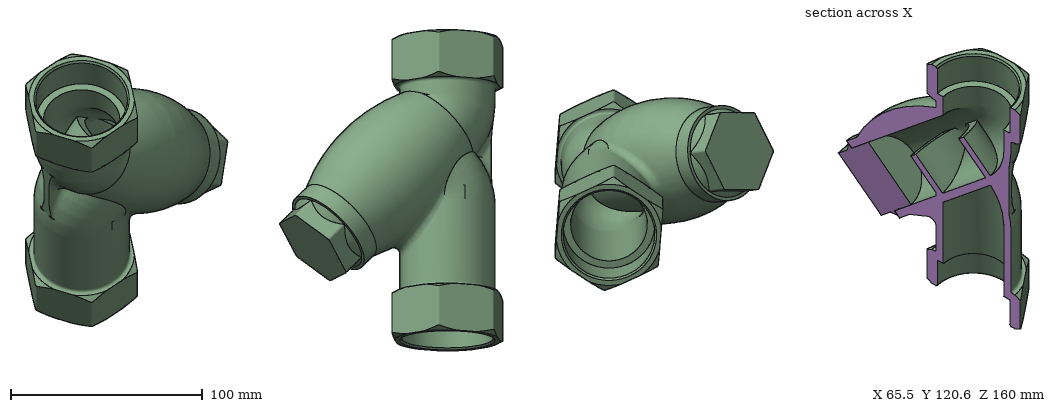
import cadquery as cq
import math

TOTAL_HEIGHT = 160.0
PIPE_DIAMETER = 50.0
BORE_DIAMETER = 40.0
BEND_RADIUS = 17.5
BEND_ANGLE = 45.0
UPPER_KNEE_Z = 39.0
LOWER_KNEE_Z = -2.0
INNER_PIPE_END = 34.0

HEX_ACROSS_FLATS = 54.0
HEX_HEIGHT = 25.0
HEX_CORNER_FILLET = 1.6
HEX_CHAMFER_DIAMETER = 55.2
HEX_CHAMFER_ANGLE = 30.0
NECK_FILLET = 1.5
THREAD_DIAMETER = 47.8
THREAD_DEPTH = 19.0
THREAD_CHAMFER = 1.0

BULB_START = 8.3
BULB_PEAK_DIAMETER = 65.5
COLLAR_START = 84.8
COLLAR_END = 94.4

PLUG_ACROSS_FLATS = 40.3
PLUG_HEAD_LENGTH = 12.3
PLUG_CORNER_FILLET = 1.6
PLUG_SHOULDER_DIAMETER = 46.4
PLUG_SHOULDER_LENGTH = 3.8
PLUG_SHANK_LENGTH = 16.0

RIB_FACE_Y = -23.8
RIB_BACK_Y = -6.4
RIB_THICKNESS = 3.8
RIB_FILLET = 5.0
RIB_BOTTOM_Z = 0.2
RIB_TOP_Z = 37.1

CROTCH_FILLET = 4.0
SEAM_MIN_WIDTH = 0.2

PIPE_RADIUS = PIPE_DIAMETER / 2
BORE_RADIUS = BORE_DIAMETER / 2
BEND_TANGENT = BEND_RADIUS * math.tan(math.radians(BEND_ANGLE / 2))
UPPER_BEND_Z = UPPER_KNEE_Z + BEND_TANGENT
LOWER_BEND_Z = LOWER_KNEE_Z - BEND_TANGENT
END_Z = TOTAL_HEIGHT / 2

BRANCH_PLANE = cq.Plane(origin=(0, 0, UPPER_KNEE_Z), xDir=(1, 0, 0), normal=(0, 1, -1))
LOWER_PLANE = cq.Plane(origin=(0, 0, LOWER_KNEE_Z), xDir=(1, 0, 0), normal=(0, 1, 1))


def cylinder(plane, radius, start, end):
    return cq.Workplane(plane).workplane(offset=start).circle(radius).extrude(end - start)


def elbow(radius, z, axis_side):
    """Elbow from a vertical pipe at height z towards +Y, without the part inside the bend axis."""
    half_chord = math.sqrt(radius**2 - BEND_RADIUS**2)
    return (
        cq.Workplane("XY", origin=(0, 0, z))
        .moveTo(-half_chord, BEND_RADIUS)
        .threePointArc((0, -radius), (half_chord, BEND_RADIUS))
        .close()
        .revolve(BEND_ANGLE, (0, BEND_RADIUS), (axis_side, BEND_RADIUS))
    )


def upper_run(radius, branch_end):
    vertical = cylinder("XY", radius, UPPER_BEND_Z, END_Z)
    branch = cylinder(BRANCH_PLANE, radius, BEND_TANGENT, branch_end)
    return vertical.union(elbow(radius, UPPER_BEND_Z, 1)).union(branch)


def lower_run(radius):
    vertical = cylinder("XY", radius, -END_Z, LOWER_BEND_Z)
    slanted = cylinder(LOWER_PLANE, radius, BEND_TANGENT, INNER_PIPE_END)
    return vertical.union(elbow(radius, LOWER_BEND_Z, -1)).union(slanted)


def bulb():
    """Barrel around the branch axis; the profile's first coordinate is the distance from that axis."""
    half_plane = cq.Plane(origin=(0, 0, UPPER_KNEE_Z), xDir=(0, 1, 1), normal=(1, 0, 0))
    peak = (BULB_PEAK_DIAMETER / 2, -(BULB_START + COLLAR_START) / 2)
    return (
        cq.Workplane(half_plane)
        .moveTo(0, -BULB_START)
        .lineTo(PIPE_RADIUS, -BULB_START)
        .threePointArc(peak, (PIPE_RADIUS, -COLLAR_START))
        .lineTo(0, -COLLAR_START)
        .close()
        .revolve(360, (0, 0), (0, 1))
    )


def filleted_crotch():
    """Bulb and the +Y half of the lower pipe, with the seam between them rounded."""
    half_space = cq.Workplane("XY").box(
        PIPE_DIAMETER * 2, PIPE_DIAMETER, TOTAL_HEIGHT * 2, centered=(True, False, True)
    )
    half_pipe = cylinder("XY", PIPE_RADIUS, HEX_HEIGHT - END_Z, LOWER_KNEE_Z).intersect(half_space)
    joined = half_pipe.union(bulb())
    seam = [
        edge
        for edge in joined.edges("%BSPLINE").vals()
        if edge.BoundingBox().xlen > SEAM_MIN_WIDTH
    ]
    return joined.newObject(seam).fillet(CROTCH_FILLET)


def rib():
    """Thin plate in the notch, flared by a concave fillet where it meets each elbow."""
    half_thickness = RIB_THICKNESS / 2
    arc_x = half_thickness + RIB_FILLET
    arc_y = math.sqrt((PIPE_RADIUS + RIB_FILLET) ** 2 - arc_x**2)
    lean = math.atan2(arc_x, arc_y)
    half_width = PIPE_RADIUS * math.sin(lean)
    foot = BEND_RADIUS + PIPE_RADIUS * math.cos(lean)
    top = BEND_RADIUS + arc_y
    half_turn = (math.pi / 2 - lean) / 2
    middle_x = arc_x - RIB_FILLET * math.cos(half_turn)
    middle_r = top - RIB_FILLET * math.sin(half_turn)

    height = RIB_TOP_Z - RIB_BOTTOM_Z
    depth = RIB_BACK_Y - RIB_FACE_Y
    base = cq.Workplane("XY", origin=(0, RIB_FACE_Y, RIB_BOTTOM_Z))
    envelope = base.box(2 * half_width, depth, height, centered=(True, False, False))
    plate = base.box(RIB_THICKNESS, depth, height, centered=(True, False, False))

    for bend_z in (UPPER_BEND_Z, LOWER_BEND_Z):
        flare = (
            cq.Workplane("XY", origin=(0, BEND_RADIUS, bend_z))
            .moveTo(-half_width, -BORE_RADIUS)
            .lineTo(-half_width, -foot)
            .threePointArc((-middle_x, -middle_r), (-half_thickness, -top))
            .lineTo(half_thickness, -top)
            .threePointArc((middle_x, -middle_r), (half_width, -foot))
            .lineTo(half_width, -BORE_RADIUS)
            .close()
            .revolve(360, (0, 0), (1, 0))
        )
        plate = plate.union(flare.intersect(envelope))
    return plate


def hexagon(plane, across_flats, length, corner_fillet):
    prism = cq.Workplane(plane).polygon(6, across_flats, circumscribed=True).extrude(length)
    return prism.edges(cq.selectors.ParallelDirSelector(plane.zDir)).fillet(corner_fillet)


def end_hexagon():
    """Upper threaded end: corners on the Y axis, chamfered at both faces, filleted into the pipe."""
    bottom_z = END_Z - HEX_HEIGHT
    plane = cq.Plane(origin=(0, 0, bottom_z), xDir=(1, 0, 0), normal=(0, 0, 1))
    face_radius = HEX_CHAMFER_DIAMETER / 2
    rim_radius = HEX_ACROSS_FLATS / math.sqrt(3)
    drop = (rim_radius - face_radius) * math.tan(math.radians(HEX_CHAMFER_ANGLE))
    turned = (
        cq.Workplane("XZ", origin=(0, 0, bottom_z))
        .moveTo(0, 0)
        .lineTo(face_radius, 0)
        .lineTo(rim_radius, drop)
        .lineTo(rim_radius, HEX_HEIGHT - drop)
        .lineTo(face_radius, HEX_HEIGHT)
        .lineTo(0, HEX_HEIGHT)
        .close()
        .revolve(360, (0, 0), (0, 1))
    )
    neck = (
        cq.Workplane("XZ", origin=(0, 0, bottom_z))
        .moveTo(0, 0)
        .lineTo(PIPE_RADIUS + NECK_FILLET, 0)
        .radiusArc((PIPE_RADIUS, -NECK_FILLET), -NECK_FILLET)
        .lineTo(0, -NECK_FILLET)
        .close()
        .revolve(360, (0, 0), (0, 1))
    )
    return hexagon(plane, HEX_ACROSS_FLATS, HEX_HEIGHT, HEX_CORNER_FILLET).intersect(turned).union(neck)


def thread_bore():
    """Counterbore of the upper threaded end with its entry chamfer."""
    return (
        cylinder("XY", THREAD_DIAMETER / 2, END_Z - THREAD_DEPTH, END_Z)
        .faces(">Z")
        .workplane()
        .circle(THREAD_DIAMETER / 2 + THREAD_CHAMFER)
        .workplane(offset=-THREAD_CHAMFER)
        .circle(THREAD_DIAMETER / 2)
        .loft(combine=True)
    )


def both_ends(upper):
    return [upper, upper.mirror("XY")]


def make_housing():
    upper_outside = upper_run(PIPE_RADIUS, COLLAR_END)
    lower_outside = lower_run(PIPE_RADIUS)
    upper_bore = upper_run(BORE_RADIUS, COLLAR_END)
    lower_bore = lower_run(BORE_RADIUS)

    upper_passage = upper_bore.cut(lower_outside.cut(lower_bore))
    lower_passage = lower_bore.cut(upper_outside.cut(upper_bore))

    body = upper_outside.union(lower_outside).union(filleted_crotch()).union(rib())
    for end in both_ends(end_hexagon()):
        body = body.union(end)
    body = body.cut(upper_passage).cut(lower_passage)
    for bore in both_ends(thread_bore()):
        body = body.cut(bore)
    return body


def make_plug():
    """Hexagon plug closing the branch, its shank filling the mouth of the branch bore."""
    mouth = BRANCH_PLANE.toWorldCoords((0, 0, COLLAR_END))
    plane = cq.Plane(origin=mouth, xDir=(0, 1, 1), normal=(0, 1, -1))
    head = hexagon(plane, PLUG_ACROSS_FLATS, PLUG_HEAD_LENGTH, PLUG_CORNER_FILLET)
    shoulder = (
        cq.Workplane(plane)
        .circle(PLUG_SHOULDER_DIAMETER / 2)
        .workplane(offset=PLUG_SHOULDER_LENGTH)
        .circle(PLUG_ACROSS_FLATS / 2)
        .loft()
    )
    shank = cylinder(BRANCH_PLANE, BORE_RADIUS, COLLAR_END - PLUG_SHANK_LENGTH, COLLAR_END)
    return head.union(shoulder).union(shank)


housing = make_housing()
plug = make_plug()
result = cq.Compound.makeCompound([housing.val(), plug.val()])